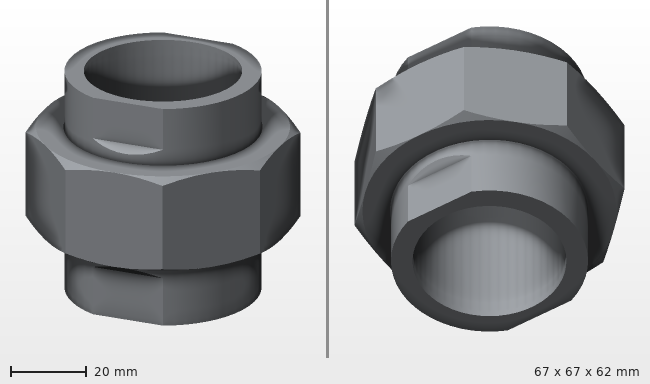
import cadquery as cq
import math

TOTAL_HEIGHT = 62.0
NUT_BOTTOM = 18.9
NUT_HEIGHT = 27.0
NUT_TOP = NUT_BOTTOM + NUT_HEIGHT

NUT_WIDTH = 67.0
NUT_SIDES = 8
NUT_CHAMFER_ANGLE = 30.0
NUT_CLEARANCE = 0.3

TAIL_RADIUS = 26.0
NUT_BORE_RADIUS = TAIL_RADIUS + NUT_CLEARANCE
UPPER_BORE_RADIUS = 20.9
LOWER_BORE_RADIUS = 20.3
JOINT_HEIGHT = 37.05
SHOULDER_BASE = NUT_BOTTOM - 0.4

FLAT_DISTANCE = 24.0
FLAT_DEPTH = TAIL_RADIUS - FLAT_DISTANCE
UPPER_FLAT_LENGTH = 11.65
LOWER_FLAT_LENGTH = 13.55


def flat_cutters(end_height, length, inward):
    """Two opposed cutters; inward is the Z sign pointing from the tail end to the joint."""
    ramp_start = end_height + inward * length
    ramp_end = ramp_start + inward * FLAT_DEPTH
    front = (
        cq.Workplane("YZ")
        .moveTo(-FLAT_DISTANCE, end_height)
        .lineTo(-FLAT_DISTANCE, ramp_start)
        .lineTo(-TAIL_RADIUS, ramp_end)
        .lineTo(-NUT_WIDTH / 2, ramp_end)
        .lineTo(-NUT_WIDTH / 2, end_height)
        .close()
        .extrude(TAIL_RADIUS, both=True)
    )
    return front.union(front.mirror("XZ"))


def make_nut():
    corner_radius = NUT_WIDTH / 2 / math.cos(math.pi / NUT_SIDES)
    chamfer_width = corner_radius - NUT_WIDTH / 2
    chamfer_drop = chamfer_width * math.tan(math.radians(NUT_CHAMFER_ANGLE))
    octagon = (
        cq.Workplane("XY", origin=(0, 0, NUT_BOTTOM))
        .polygon(NUT_SIDES, 2 * corner_radius)
        .extrude(NUT_HEIGHT)
        .rotate((0, 0, 0), (0, 0, 1), 180 / NUT_SIDES)
    )
    envelope = (
        cq.Workplane("XZ")
        .moveTo(NUT_BORE_RADIUS, NUT_BOTTOM)
        .lineTo(NUT_WIDTH / 2, NUT_BOTTOM)
        .lineTo(corner_radius, NUT_BOTTOM + chamfer_drop)
        .lineTo(corner_radius, NUT_TOP - chamfer_drop)
        .lineTo(NUT_WIDTH / 2, NUT_TOP)
        .lineTo(NUT_BORE_RADIUS, NUT_TOP)
        .close()
        .revolve(360, (0, 0, 0), (0, 1, 0))
    )
    return octagon.intersect(envelope)


def make_upper_tail():
    tube = (
        cq.Workplane("XY", origin=(0, 0, JOINT_HEIGHT))
        .circle(TAIL_RADIUS)
        .circle(UPPER_BORE_RADIUS)
        .extrude(TOTAL_HEIGHT - JOINT_HEIGHT)
    )
    return tube.cut(flat_cutters(TOTAL_HEIGHT, UPPER_FLAT_LENGTH, -1))


def make_lower_tail():
    tube = (
        cq.Workplane("XZ")
        .moveTo(LOWER_BORE_RADIUS, 0)
        .lineTo(TAIL_RADIUS, 0)
        .lineTo(TAIL_RADIUS, SHOULDER_BASE)
        .lineTo(NUT_BORE_RADIUS, NUT_BOTTOM)
        .lineTo(NUT_BORE_RADIUS, JOINT_HEIGHT)
        .lineTo(LOWER_BORE_RADIUS, JOINT_HEIGHT)
        .close()
        .revolve(360, (0, 0, 0), (0, 1, 0))
    )
    return tube.cut(flat_cutters(0, LOWER_FLAT_LENGTH, 1))


nut = make_nut()
upper_tail = make_upper_tail()
lower_tail = make_lower_tail()

result = cq.Compound.makeCompound([nut.solids().val(), upper_tail.solids().val(), lower_tail.solids().val()])